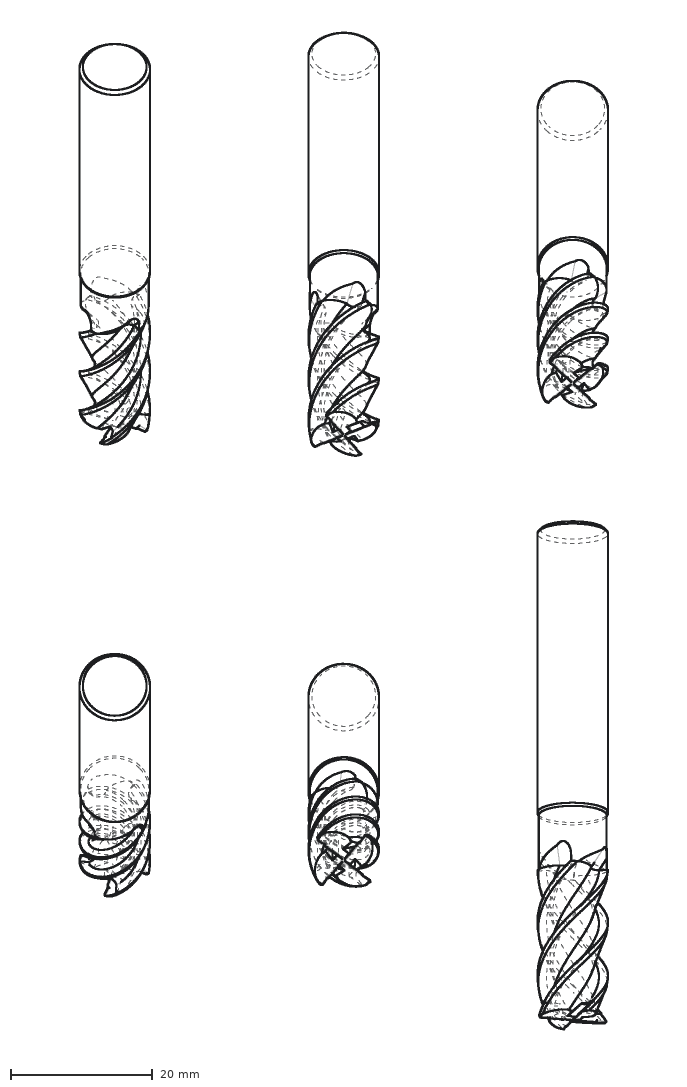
import cadquery as cq
import math

overall_length = 72.0
cutting_length = 22.0
neck_end_height = 30.5
cutter_radius = 5.0
shank_radius = 5.0
neck_radius = 4.8
neck_step_height = 0.4
shank_chamfer = 0.5

flute_count = 4
flute_pitch_angle = 360.0 / flute_count
helix_angle = 45.0
helix_lead = 2 * math.pi * cutter_radius / math.tan(math.radians(helix_angle))
twist_angle = 360.0 * cutting_length / helix_lead

land_end = (4.87, 11.0)
relief_middle = (3.95, 36.0)
relief_end = (3.2, 58.0)
floor_middle = (2.8, 75.0)
rake_root = (3.7, 92.0)

corner_chamfer = 0.25
end_land = 0.25
end_relief_angle = 13.0
gash_height = 1.75
gash_depth = 1.85
gash_width = 1.3
gash_inner_start = 1.0
gash_inner_top = 2.4

runout_height = 3.2
runout_shift = 2.15
runout_direction = 80.0

overcut = 1.0


def polar(radius, angle):
    """Point at a polar position, angle in degrees."""
    radians = math.radians(angle)
    return (radius * math.cos(radians), radius * math.sin(radians))


def fluted_section():
    """Closed outline of the fluted cross-section, cutting edges at 0, 90, 180 and 270 degrees."""
    outline = cq.Workplane("XY").moveTo(cutter_radius, 0)
    for tooth in range(flute_count):
        edge_angle = tooth * flute_pitch_angle
        land, back, relief, floor, root = [
            polar(radius, edge_angle + angle)
            for radius, angle in (land_end, relief_middle, relief_end, floor_middle, rake_root)
        ]
        outline = outline.lineTo(*land).threePointArc(back, relief).threePointArc(floor, root)
        if tooth < flute_count - 1:
            outline = outline.lineTo(*polar(cutter_radius, edge_angle + flute_pitch_angle))
    return outline.close()


def end_relief():
    """Wedge that slopes the end face upward behind the cutting edge lying on +X."""
    rise = cutter_radius * math.tan(math.radians(end_relief_angle))
    return (
        cq.Workplane("YZ")
        .polyline([(end_land, 0), (end_land + cutter_radius, 0), (end_land + cutter_radius, rise)])
        .close()
        .extrude(cutter_radius)
    )


def end_gash():
    """Slanted gash that opens the flute in front of the cutting edge lying on +X."""
    slot = (
        cq.Workplane("YZ")
        .polyline([
            (-gash_width, 0),
            (0, 0),
            (gash_depth, gash_height),
            (gash_depth - gash_width, gash_height),
        ])
        .close()
        .extrude(cutter_radius + overcut)
    )
    outer_limit = cutter_radius + overcut
    side_limit = (
        cq.Workplane("XZ")
        .polyline([
            (gash_inner_start, 0),
            (outer_limit, 0),
            (outer_limit, gash_height),
            (gash_inner_top, gash_height),
        ])
        .close()
        .extrude(cutter_radius, both=True)
    )
    return slot.intersect(side_limit)


def around_axis(shape, tooth):
    """Copy of a shape turned to the given tooth."""
    return shape.rotate((0, 0, 0), (0, 0, 1), tooth * flute_pitch_angle)


def make_cutting_head():
    envelope = (
        cq.Workplane("XY")
        .circle(cutter_radius)
        .extrude(cutting_length)
        .faces("<Z")
        .chamfer(corner_chamfer)
    )
    head = fluted_section().twistExtrude(cutting_length, twist_angle).intersect(envelope)
    for tooth in range(flute_count):
        head = head.cut(around_axis(end_relief(), tooth))
        head = head.cut(around_axis(end_gash(), tooth))
    return head


def flute_runout():
    """Flute space behind the tooth at 0 degrees, carried up and outward until it leaves the neck."""
    outer_radius = cutter_radius + overcut
    profile = (
        cq.Workplane("XY")
        .moveTo(*polar(outer_radius, land_end[1]))
        .lineTo(*polar(*land_end))
        .threePointArc(polar(*relief_middle), polar(*relief_end))
        .threePointArc(polar(*floor_middle), polar(*rake_root))
        .lineTo(*polar(cutter_radius, flute_pitch_angle))
        .lineTo(*polar(outer_radius, flute_pitch_angle))
        .threePointArc(
            polar(outer_radius, (land_end[1] + flute_pitch_angle) / 2),
            polar(outer_radius, land_end[1]),
        )
        .close()
    )
    shift_x, shift_y = polar(runout_shift, runout_direction)
    direction = cq.Vector(shift_x, shift_y, runout_height)
    space = cq.Solid.extrudeLinear(profile.val(), [], direction)
    return (
        cq.Workplane(space)
        .rotate((0, 0, 0), (0, 0, 1), twist_angle)
        .translate((0, 0, cutting_length))
    )


def make_shank():
    shank = (
        cq.Workplane("XZ")
        .polyline([
            (0, cutting_length),
            (neck_radius, cutting_length),
            (neck_radius, neck_end_height - neck_step_height),
            (shank_radius, neck_end_height),
            (shank_radius, overall_length - shank_chamfer),
            (shank_radius - shank_chamfer, overall_length),
            (0, overall_length),
        ])
        .close()
        .revolve(360, (0, 0), (0, 1))
    )
    for tooth in range(flute_count):
        shank = shank.cut(around_axis(flute_runout(), tooth))
    return shank


cutting_head = make_cutting_head()
shank = make_shank()

result = cq.Compound.makeCompound([cutting_head.val(), shank.val()])